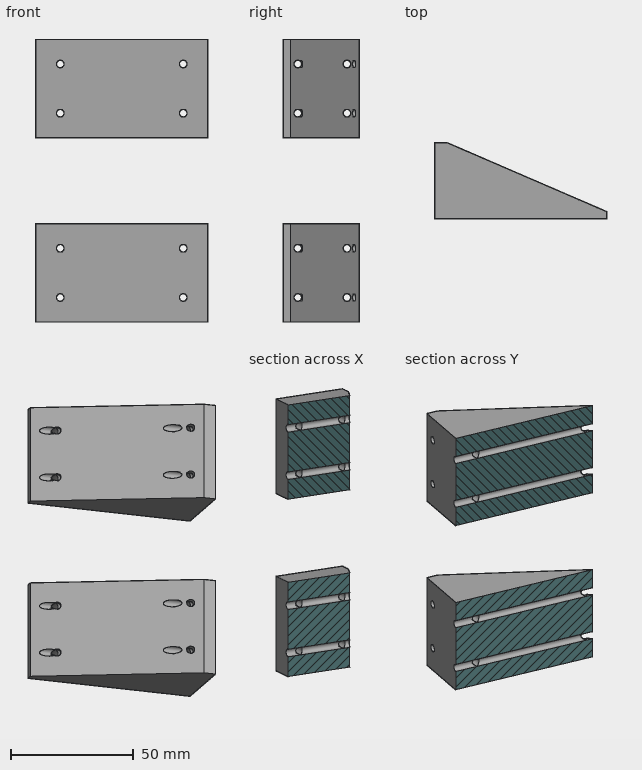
import cadquery as cq

length = 70.0
depth = 31.0
total_height = 115.0
block_height = 40.0
block_pitch = total_height - block_height
back_land = 5.1
tip_thickness = 3.0

hole_diameter = 3.0
hole_spacing_z = 20.0
front_hole_inset = 10.0
front_hole_spacing = length - 2 * front_hole_inset
end_hole_spacing = 20.0
end_hole_first_y = 6.0
end_hole_center_y = end_hole_first_y + end_hole_spacing / 2


def wedge_blank():
    outline = [
        (0, 0),
        (length, 0),
        (length, tip_thickness),
        (back_land, depth),
        (0, depth),
    ]
    return cq.Workplane("XY").polyline(outline).close().extrude(block_height)


def front_holes():
    """Four drills along Y, through the front face and the slope."""
    return (
        cq.Workplane("XZ", origin=(length / 2, 0, block_height / 2))
        .rarray(front_hole_spacing, hole_spacing_z, 2, 2)
        .circle(hole_diameter / 2)
        .extrude(-depth)
    )


def end_holes():
    """Four drills along X, through the deep end face and the slope."""
    return (
        cq.Workplane("YZ", origin=(0, end_hole_center_y, block_height / 2))
        .rarray(end_hole_spacing, hole_spacing_z, 2, 2)
        .circle(hole_diameter / 2)
        .extrude(length)
    )


def make_wedge(base_z):
    wedge = wedge_blank().cut(front_holes()).cut(end_holes())
    return wedge.translate((0, 0, base_z)).solids()


wedges = [make_wedge(level * block_pitch) for level in range(2)]

result = cq.Compound.makeCompound([wedge.val() for wedge in wedges])